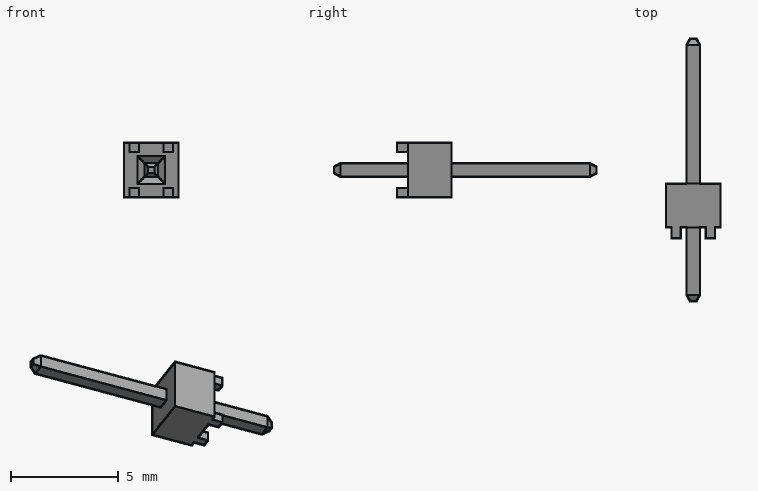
import cadquery as cq

pin_length = 12.19
pin_width = 0.63
tip_length = 0.3
tip_width = 0.29

housing_width = 2.54
housing_depth = 2.02
housing_front = 3.44

funnel_width = 1.29
funnel_depth = 0.23

foot_width = 0.44
foot_length = 0.51
foot_spacing = 1.58

pin_front = -pin_length / 2
housing_front_y = pin_front + housing_front


def square_bar(width, start_y, length):
    """Square bar centred on the Y axis, running toward +Y."""
    return cq.Workplane("XY").box(width, length, width).translate((0, start_y + length / 2, 0))


def square_taper(start_width, end_width, start_y, end_y):
    """Square frustum along the Y axis between two stations."""
    return (
        cq.Workplane("XZ", origin=(0, start_y, 0))
        .rect(start_width, start_width)
        .workplane(offset=start_y - end_y)
        .rect(end_width, end_width)
        .loft(ruled=True)
    )


def make_pin():
    shank_end = pin_length / 2 - tip_length
    shank = square_bar(pin_width, -shank_end, 2 * shank_end)
    front_tip = square_taper(pin_width, tip_width, -shank_end, pin_front)
    rear_tip = square_taper(pin_width, tip_width, shank_end, pin_length / 2)
    return shank.union(front_tip).union(rear_tip)


def make_housing():
    block = square_bar(housing_width, housing_front_y, housing_depth)
    funnel = square_taper(funnel_width, pin_width, housing_front_y, housing_front_y + funnel_depth)
    housing = block.cut(funnel)
    foot_z = (housing_width - foot_width) / 2
    for x in (-foot_spacing / 2, foot_spacing / 2):
        for z in (-foot_z, foot_z):
            foot = cq.Workplane("XY").box(foot_width, foot_length, foot_width)
            housing = housing.union(foot.translate((x, housing_front_y - foot_length / 2, z)))
    return housing


result = make_housing().union(make_pin())